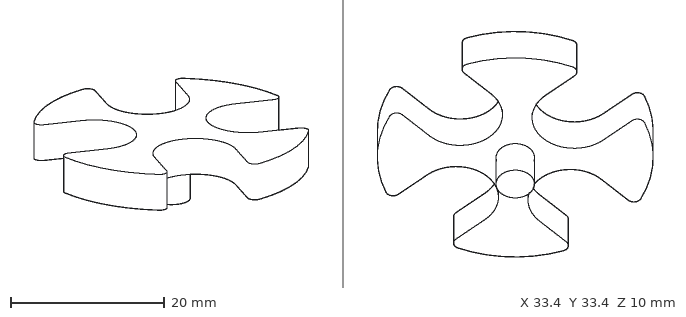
import cadquery as cq
import math

span = 33.4
total_height = 10.0
plate_thickness = total_height / 2
pin_diameter = 5.0
slot_width = 11.03
slot_floor_distance = 5.0
tip_radius = 1.0

slot_radius = slot_width / 2
slot_center_distance = slot_floor_distance + slot_radius
tip_center_along = span / 2 - tip_radius
tip_center_across = slot_radius + tip_radius
disc_radius = math.hypot(tip_center_along, tip_center_across) + tip_radius


def make_slot(angle):
    """Round-ended slot, open at the rim, pointing in the given direction."""
    slot = (
        cq.Workplane("XY")
        .moveTo(disc_radius, -slot_radius)
        .lineTo(slot_center_distance, -slot_radius)
        .threePointArc((slot_floor_distance, 0), (slot_center_distance, slot_radius))
        .lineTo(disc_radius, slot_radius)
        .close()
        .extrude(plate_thickness)
    )
    return slot.rotate((0, 0, 0), (0, 0, 1), angle)


def is_arm_tip(edge):
    """True for upright edges at the rim, beyond the tip rounding centers."""
    center = edge.Center()
    return math.hypot(center.x, center.y) > tip_center_along


plate = cq.Workplane("XY").circle(disc_radius).extrude(plate_thickness)
for slot_angle in (0, 90, 180, 270):
    plate = plate.cut(make_slot(slot_angle))
plate = plate.edges("|Z").filter(is_arm_tip).fillet(tip_radius)

pin = cq.Workplane("XY").circle(pin_diameter / 2).extrude(plate_thickness - total_height)

result = plate.union(pin)